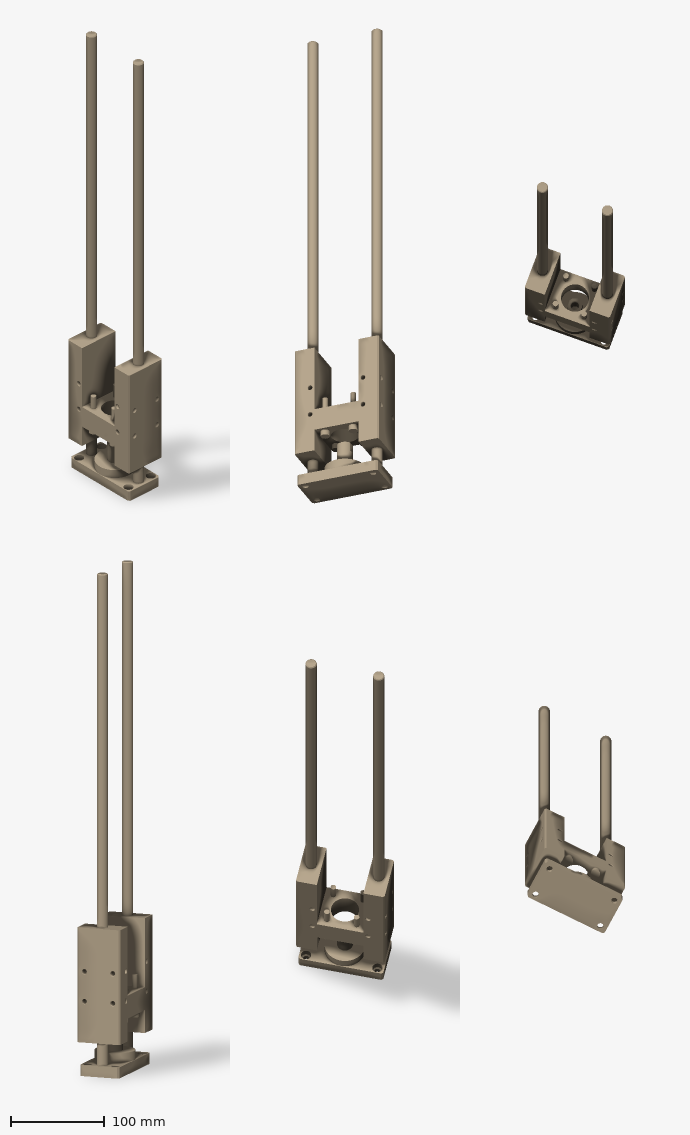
import cadquery as cq
import math

total_height = 547.0
rod_spacing = 74.0
rod_diameter = 12.0
rod_chamfer = 1.0

plate_length = 93.0
plate_width = 45.0
plate_thickness = 12.0
plate_chamfer = 2.0
plate_screw_spacing_x = 78.0
plate_screw_spacing_y = 32.5
plate_screw_clearance = 6.6
plate_counterbore_diameter = 11.0
plate_counterbore_depth = 6.5

flange_diameter = 44.0
flange_height = 10.0
stud_diameter = 17.0
stud_height = 28.0
flats_width = 15.0
flats_height = 10.0
stud_bore_diameter = 8.75
stud_bore_mouth = 10.5
stud_bore_depth = 20.0
drill_point_angle = 118.0

housing_length = 97.0
housing_width = 49.0
housing_height = 125.0
housing_bottom = 37.0
housing_chamfer = 1.5
leg_gap = 51.0
bar_height = 25.0
leg_drop = 25.0
bar_bottom = housing_bottom + leg_drop
bar_bore_diameter = 30.0

screw_spacing = 32.5
screw_diameter = 6.0
screw_projection = 15.0
screw_head_diameter = 10.0
screw_head_height = 6.0

tap_diameter = 5.15
tap_mouth = 6.0
tap_depth = 12.0
front_tap_spacing = 61.0
side_tap_spacing = 32.5
tap_spacing = 32.5
tap_level = 61.0
tap_center_height = housing_bottom + tap_level


def drilled_hole(core, mouth, depth):
    """Blind drilled hole with a countersunk mouth at Z = 0 and a conical end at negative Z."""
    core_radius = core / 2
    mouth_radius = mouth / 2
    countersink = mouth_radius - core_radius
    point = core_radius / math.tan(math.radians(drill_point_angle / 2))
    return (
        cq.Workplane("XZ")
        .moveTo(0, 0)
        .lineTo(mouth_radius, 0)
        .lineTo(core_radius, -countersink)
        .lineTo(core_radius, -depth)
        .lineTo(0, -depth - point)
        .close()
        .revolve(360, (0, 0), (0, 1))
    )


def make_yoke():
    """Plate with its coupling stud and the two guide rods."""
    plate = cq.Workplane("XY").box(plate_length, plate_width, plate_thickness, centered=(True, True, False))
    plate = plate.edges("|Z").chamfer(plate_chamfer)
    plate = (
        plate.faces(">Z").workplane()
        .rect(plate_screw_spacing_x, plate_screw_spacing_y, forConstruction=True)
        .vertices()
        .cboreHole(plate_screw_clearance, plate_counterbore_diameter, plate_counterbore_depth)
    )

    rods = (
        cq.Workplane("XY")
        .pushPoints([(-rod_spacing / 2, 0), (rod_spacing / 2, 0)])
        .circle(rod_diameter / 2)
        .extrude(total_height)
        .faces(">Z").chamfer(rod_chamfer)
    )

    flange_top = plate_thickness + flange_height
    stud_top = flange_top + stud_height
    flange = cq.Workplane("XY").circle(flange_diameter / 2).extrude(flange_top)
    stud = cq.Workplane("XY").circle(stud_diameter / 2).extrude(stud_top)
    flats = (
        cq.Workplane("XY", origin=(0, 0, stud_top - flats_height))
        .rect(flats_width, stud_diameter)
        .extrude(flats_height)
    )
    stud_lower = cq.Workplane("XY").circle(stud_diameter / 2).extrude(stud_top - flats_height)
    stud = stud.intersect(stud_lower.union(flats))
    bore = drilled_hole(stud_bore_diameter, stud_bore_mouth, stud_bore_depth).translate((0, 0, stud_top))

    return plate.union(flange).union(stud).cut(bore).union(rods)


def make_screw():
    """Screw through the crossbar, its head below and its end standing out above."""
    shank_length = bar_height + screw_projection
    shank = (
        cq.Workplane("XY", origin=(0, 0, bar_bottom))
        .circle(screw_diameter / 2)
        .extrude(shank_length)
    )
    head = (
        cq.Workplane("XY", origin=(0, 0, bar_bottom))
        .circle(screw_head_diameter / 2)
        .extrude(-screw_head_height)
    )
    return shank.union(head)


def make_housing():
    """H-shaped block with rod bores, a bored crossbar, its screws and tapped mounting holes."""
    housing_top = housing_bottom + housing_height
    bar_top = bar_bottom + bar_height
    housing = (
        cq.Workplane("XY", origin=(0, 0, housing_bottom))
        .box(housing_length, housing_width, housing_height, centered=(True, True, False))
        .edges("|Z").chamfer(housing_chamfer)
    )
    for gap_bottom, gap_top in [(housing_bottom, bar_bottom), (bar_top, housing_top)]:
        gap = (
            cq.Workplane("XY", origin=(0, 0, gap_bottom))
            .rect(leg_gap, housing_width)
            .extrude(gap_top - gap_bottom)
        )
        housing = housing.cut(gap)

    bores = (
        cq.Workplane("XY", origin=(0, 0, housing_bottom))
        .pushPoints([(-rod_spacing / 2, 0), (rod_spacing / 2, 0)])
        .circle(rod_diameter / 2)
        .extrude(housing_height)
    )
    bar_bore = (
        cq.Workplane("XY", origin=(0, 0, bar_bottom))
        .circle(bar_bore_diameter / 2)
        .extrude(bar_height)
    )
    housing = housing.cut(bores).cut(bar_bore)

    tap = drilled_hole(tap_diameter, tap_mouth, tap_depth)
    front_tap = tap.rotate((0, 0, 0), (1, 0, 0), 90)
    side_tap = tap.rotate((0, 0, 0), (0, 1, 0), 90)
    for side in (-1, 1):
        for level in (-1, 1):
            z = tap_center_height + level * tap_spacing / 2
            for end in (-1, 1):
                turn = 0 if end < 0 else 180
                front = front_tap.rotate((0, 0, 0), (0, 0, 1), turn)
                front = front.translate((side * front_tap_spacing / 2, end * housing_width / 2, z))
                flank = side_tap.rotate((0, 0, 0), (0, 0, 1), 180 - turn)
                flank = flank.translate((end * housing_length / 2, side * side_tap_spacing / 2, z))
                housing = housing.cut(front).cut(flank)

    screw = make_screw()
    for x in (-screw_spacing / 2, screw_spacing / 2):
        for y in (-screw_spacing / 2, screw_spacing / 2):
            housing = housing.union(screw.translate((x, y, 0)))
    return housing


yoke = make_yoke()
housing = make_housing()

result = cq.Compound.makeCompound([yoke.val(), housing.val()])